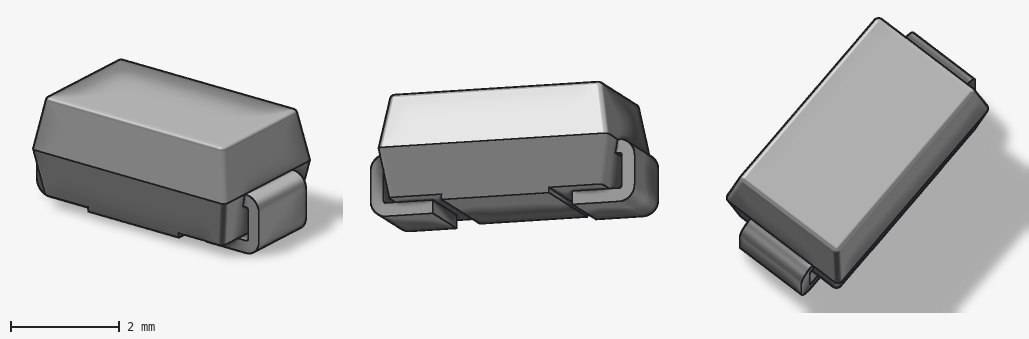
import cadquery as cq

total_length = 5.1
body_width = 2.7
total_height = 2.2

body_length = 4.45
parting_height = 1.17
draft_angle = 10.0
body_edge_radius = 0.1

pad_length = 2.075
pad_clearance = 0.155

lead_thickness = 0.25
lead_width = 1.46
foot_length = 1.205
bend_outer_radius = 0.3
bend_inner_radius = bend_outer_radius - lead_thickness


def drafted_half(depth):
    """Half body drawn from the parting plane (Z = 0), narrowing over the given signed depth."""
    half = cq.Workplane("XY").rect(body_length, body_width).extrude(depth, taper=draft_angle)
    return half.edges("not(#Z)").fillet(body_edge_radius)


def make_body():
    upper = drafted_half(total_height - parting_height)
    upper = upper.faces(">Z").edges().fillet(body_edge_radius)
    lower = drafted_half(pad_clearance - parting_height)
    body = upper.union(lower).translate((0, 0, parting_height))

    relief_length = (body_length - pad_length) / 2
    relief_depth = lead_thickness - pad_clearance
    for side in (-1, 1):
        relief = cq.Workplane("XY").box(relief_length, body_width, relief_depth, centered=(True, True, False))
        relief_center = side * (pad_length + relief_length) / 2
        body = body.cut(relief.translate((relief_center, 0, pad_clearance)))
    return body


def rounded_block(length, height, bend_radius):
    """Block as wide as a lead, ending at X = 0 and rounded on its two +X edges."""
    block = cq.Workplane("XY").box(length, lead_width, height).edges("|Y and >X").fillet(bend_radius)
    return block.translate((-length / 2, 0, 0))


def make_lead():
    """Lead on the +X side: along the foot, up the outside and back into the body.

    The arm inside the body is as long as the foot beneath it.
    """
    outer = rounded_block(foot_length, parting_height, bend_outer_radius)
    opening_length = foot_length - lead_thickness
    opening_height = parting_height - 2 * lead_thickness
    opening = rounded_block(opening_length, opening_height, bend_inner_radius)
    lead = outer.cut(opening.translate((-lead_thickness, 0, 0)))
    return lead.translate((total_length / 2, 0, parting_height / 2))


positive_x_lead = make_lead()
negative_x_lead = positive_x_lead.mirror("YZ")
result = make_body().union(positive_x_lead).union(negative_x_lead)